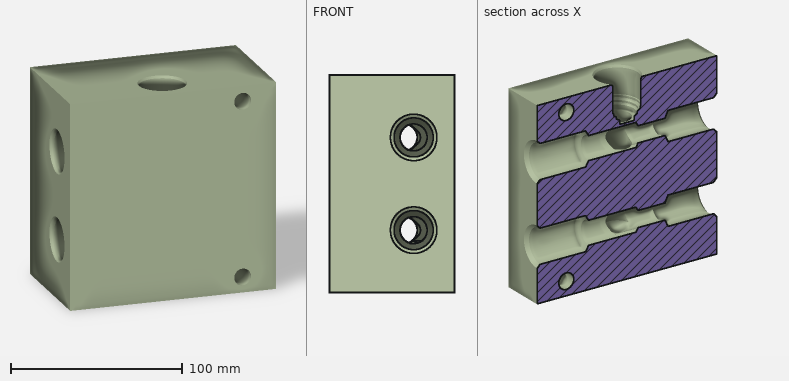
import cadquery as cq
import math

width = 73.0
length = 127.0
height = 127.0
left_face = -width / 2
top_face = height / 2

mount_diameter = 10.3
mount_edge_z = 9.5
mount_y = 42.8

port_spacing = 54.1
front_port_x = left_face + 49.1
back_port_x = left_face + 43.3
port_mouth_radius = 13.6
port_bore_radius = 11.4
port_depth = 34.3
port_drill_radius = 7.9
port_drill_tip_depth = 74.5

cavity_x = left_face + 53.2
cavity_mouth_radius = 14.5
cavity_mouth_depth = 1.5
cavity_entry_radius = 13.8
cavity_entry_depth = 18.5
cavity_thread_radius = 13.5
cavity_thread_depth = 20.3
cavity_seat_radius = 12.2
cavity_seat_depth = 22.9
cavity_nose_radius = 11.0
cavity_nose_depth = 26.7
cavity_drill_radius = 8.6
cavity_drill_depth = 96.8

drill_point_angle = 118.0
point_slope = 1 / math.tan(math.radians(drill_point_angle / 2))


def turned_cutter(profile):
    """Revolve (radius, depth) points about Z, with depth running downward from the origin."""
    points = [(radius, -depth) for radius, depth in profile]
    return cq.Workplane("XZ").polyline(points).close().revolve(360, (0, 0, 0), (0, 1, 0))


def port_cutter():
    chamfer = port_mouth_radius - port_bore_radius
    shoulder = (port_bore_radius - port_drill_radius) * point_slope
    return turned_cutter([
        (0, 0),
        (port_mouth_radius, 0),
        (port_bore_radius, chamfer),
        (port_bore_radius, port_depth),
        (port_drill_radius, port_depth + shoulder),
        (port_drill_radius, port_drill_tip_depth - port_drill_radius * point_slope),
        (0, port_drill_tip_depth),
    ])


def cavity_cutter():
    entry_chamfer = cavity_entry_radius - cavity_thread_radius
    thread_chamfer = cavity_thread_radius - cavity_seat_radius
    seat_chamfer = cavity_seat_radius - cavity_nose_radius
    return turned_cutter([
        (0, 0),
        (cavity_mouth_radius, 0),
        (cavity_entry_radius, cavity_mouth_depth),
        (cavity_entry_radius, cavity_entry_depth),
        (cavity_thread_radius, cavity_entry_depth + entry_chamfer),
        (cavity_thread_radius, cavity_thread_depth),
        (cavity_seat_radius, cavity_thread_depth + thread_chamfer),
        (cavity_seat_radius, cavity_seat_depth),
        (cavity_nose_radius, cavity_seat_depth + seat_chamfer),
        (cavity_nose_radius, cavity_nose_depth),
        (cavity_drill_radius, cavity_nose_depth),
        (cavity_drill_radius, cavity_drill_depth),
        (0, cavity_drill_depth + cavity_drill_radius * point_slope),
    ])


result = cq.Workplane("XY").box(width, length, height)

result = result.cut(cavity_cutter().translate((cavity_x, 0, top_face)))

front_port = port_cutter().rotate((0, 0, 0), (1, 0, 0), 90)
back_port = port_cutter().rotate((0, 0, 0), (1, 0, 0), -90)
for port_z in (-port_spacing / 2, port_spacing / 2):
    result = result.cut(front_port.translate((front_port_x, -length / 2, port_z)))
    result = result.cut(back_port.translate((back_port_x, length / 2, port_z)))

mount_z = top_face - mount_edge_z
mount_holes = (
    cq.Workplane("YZ", origin=(left_face, 0, 0))
    .pushPoints([(mount_y, -mount_z), (mount_y, mount_z)])
    .circle(mount_diameter / 2)
    .extrude(width)
)
result = result.cut(mount_holes)